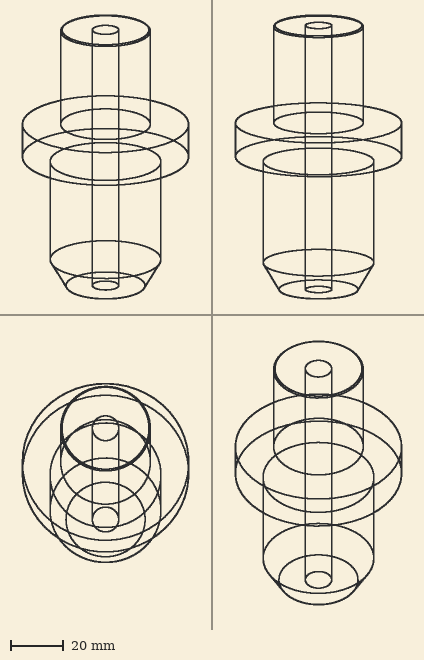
import cadquery as cq
import math

total_height = 103.0
flange_radius = 63.0 / 2
shank_radius = 34.0 / 2
body_radius = 42.0 / 2
tip_radius = 30.0 / 2
bore_radius = 10.0 / 2

body_top = 50.0
flange_top = 65.0
tip_half_angle = 30.0
underside_angle = 10.0
shank_chamfer = 0.5

tip_height = (body_radius - tip_radius) / math.tan(math.radians(tip_half_angle))
underside_rise = (flange_radius - body_radius) * math.tan(math.radians(underside_angle))

half_section = [
    (bore_radius, 0),
    (tip_radius, 0),
    (body_radius, tip_height),
    (body_radius, body_top),
    (flange_radius, body_top + underside_rise),
    (flange_radius, flange_top),
    (shank_radius, flange_top),
    (shank_radius, total_height - shank_chamfer),
    (shank_radius - shank_chamfer, total_height),
    (bore_radius, total_height),
]

result = (
    cq.Workplane("XZ")
    .polyline(half_section)
    .close()
    .revolve(360, (0, 0, 0), (0, 1, 0))
)